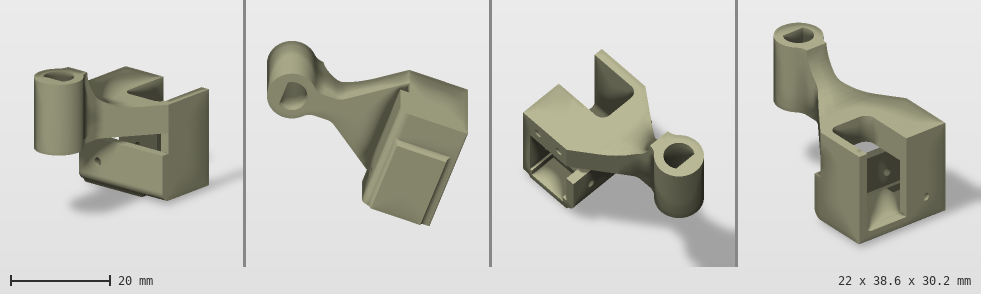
import cadquery as cq
import math

width = 22.0
half_width = width / 2
boss_radius = 5.0
back_y = 38.62 - boss_radius
total_height = 30.2
wall = 2.0

body_bottom = 0.85
floor_z = 2.97
front_wall_top = 10.8
plate_bottom = 15.18
plate_top = 21.2

front_y = 19.1
channel_front_y = front_y + wall
channel_back_y = back_y - wall
channel_end_x = half_width - wall
floor_fillet = 1.0
front_edge_radius = 2.0
back_edge_radius = 0.27
relief_depth = 0.1
relief_end_x = 3.98

recess_front_y = 22.15
recess_back_y = 31.05
recess_floor = 1.43
recess_end_x = -5.02

pad_end_x = 3.95
pad_end_run = 0.95
pad_flare = body_bottom
pad_front_overlap = 0.4
pad_front_bulge = 0.8

pocket_left_x = -1.0
pocket_corner_radius = 2.0

arm_start_y = 21.05
neck_half_width = 2.5
neck_vertex_y = 9.4
neck_fillet = 3.0
ramp_radius = 10.0
ramp_start_y = 15.8
bore_radius = 3.13
bore_flat_y = -1.8

hole_diameter = 1.7
cross_hole_x = -6.0
cross_hole_z = 5.87
side_hole_ys = (23.33, 29.3)
side_hole_depth = 5.02
drill_tip_angle = 118.0


def block(x0, x1, y0, y1, z0, z1):
    """Box between two opposite corners."""
    return cq.Workplane("XY").box(x1 - x0, y1 - y0, z1 - z0, centered=False).translate((x0, y0, z0))


def make_body():
    """Left, back and right outline of the block, with a low front wall."""
    lower = block(-half_width, half_width, front_y, back_y, body_bottom, front_wall_top)
    lower = lower.edges("|X and <Y and <Z").fillet(front_edge_radius)
    lower = lower.edges("|X and >Y and <Z").fillet(back_edge_radius)
    upper = block(-half_width, half_width, arm_start_y, back_y, front_wall_top, plate_top)
    return lower.union(upper)


def make_pad():
    """Pad with curved front and back flares and a sloping right end."""
    arc = pad_flare * math.sqrt(0.5)
    front, back = arm_start_y, channel_back_y
    across = (
        cq.Workplane("YZ", origin=(-half_width, 0, 0))
        .moveTo(front, 0)
        .lineTo(back, 0)
        .threePointArc((back + pad_flare - arc, arc), (back + pad_flare, pad_flare))
        .lineTo(back + pad_flare, floor_z)
        .lineTo(front, floor_z)
        .lineTo(front - pad_flare, pad_flare + pad_front_overlap)
        .threePointArc((front - pad_flare / 2, pad_flare * pad_front_bulge), (front, 0))
        .close()
        .extrude(width)
    )
    along = (
        cq.Workplane("XZ", origin=(0, back_y, 0))
        .moveTo(-half_width, 0)
        .lineTo(pad_end_x, 0)
        .lineTo(pad_end_x + pad_end_run, pad_flare)
        .lineTo(pad_end_x + pad_end_run, floor_z)
        .lineTo(-half_width, floor_z)
        .close()
        .extrude(back_y)
    )
    return across.intersect(along)


def neck_outline():
    """Tapered arm and neck, blended into the boss circle."""
    taper = math.atan2(half_width - neck_half_width, arm_start_y - neck_vertex_y)
    tangent = neck_fillet * math.tan(taper / 2)
    upper_x = neck_half_width + tangent * math.sin(taper)
    upper_y = neck_vertex_y + tangent * math.cos(taper)
    mid_x = neck_half_width + neck_fillet * (1 - math.cos(taper / 2))
    mid_y = neck_vertex_y - tangent + neck_fillet * math.sin(taper / 2)

    centre_x = neck_half_width + neck_fillet
    centre_distance = boss_radius + neck_fillet
    centre_y = math.sqrt(centre_distance**2 - centre_x**2)
    angle = math.atan2(centre_y, centre_x)
    end_x = boss_radius * math.cos(angle)
    end_y = boss_radius * math.sin(angle)
    blend_x = centre_x - neck_fillet * math.cos(angle / 2)
    blend_y = centre_y - neck_fillet * math.sin(angle / 2)

    return (
        cq.Workplane("XY", origin=(0, 0, plate_bottom))
        .moveTo(half_width, arm_start_y)
        .lineTo(upper_x, upper_y)
        .threePointArc((mid_x, mid_y), (neck_half_width, neck_vertex_y - tangent))
        .lineTo(neck_half_width, centre_y)
        .threePointArc((blend_x, blend_y), (end_x, end_y))
        .threePointArc((0, -boss_radius), (-end_x, end_y))
        .threePointArc((-blend_x, blend_y), (-neck_half_width, centre_y))
        .lineTo(-neck_half_width, neck_vertex_y - tangent)
        .threePointArc((-mid_x, mid_y), (-upper_x, upper_y))
        .lineTo(-half_width, arm_start_y)
        .close()
    )


def make_arm():
    """Arm at plate level, rising along a concave ramp to the top of the boss."""
    centre_z = plate_top + ramp_radius
    ramp_top_y = ramp_start_y - math.sqrt(ramp_radius**2 - (centre_z - total_height) ** 2)
    arc = ramp_radius * math.sqrt(0.5)
    side = (
        cq.Workplane("YZ", origin=(-half_width, 0, 0))
        .moveTo(-boss_radius, plate_bottom)
        .lineTo(-boss_radius, total_height)
        .lineTo(ramp_top_y, total_height)
        .threePointArc((ramp_start_y - arc, centre_z - arc), (ramp_start_y, plate_top))
        .lineTo(arm_start_y, plate_top)
        .lineTo(arm_start_y, plate_bottom)
        .close()
        .extrude(width)
    )
    return neck_outline().extrude(total_height - plate_bottom).intersect(side)


def make_bore():
    """D-shaped bore through the boss."""
    height = total_height - plate_bottom
    bore = cq.Workplane("XY", origin=(0, 0, plate_bottom)).circle(bore_radius).extrude(height)
    keep = block(-bore_radius, bore_radius, bore_flat_y, bore_radius, plate_bottom, total_height)
    return bore.intersect(keep)


def make_channel():
    """Channel under the plate, rounded where its floor meets the end wall."""
    channel = block(-half_width, channel_end_x, channel_front_y, channel_back_y, floor_z, plate_bottom)
    gap = block(-half_width, channel_end_x, front_y, channel_front_y, front_wall_top, plate_bottom)
    return channel.edges("|Y and >X and <Z").fillet(floor_fillet).union(gap)


def make_pocket():
    """Pocket open to the top and the back, level with the channel floor."""
    plate_cut = block(pocket_left_x, channel_end_x, arm_start_y, back_y, plate_bottom, plate_top)
    plate_cut = plate_cut.edges("|Z and <Y").fillet(pocket_corner_radius)
    wall_cut = block(pocket_left_x, channel_end_x, channel_back_y, back_y, floor_z, plate_bottom)
    wall_cut = wall_cut.edges("|Y and >X and <Z").fillet(floor_fillet)
    return plate_cut.union(wall_cut)


def make_relief(inner_y, wall_y):
    """Shallow wedge that lowers the channel floor towards a side wall."""
    return (
        cq.Workplane("YZ", origin=(-half_width, 0, 0))
        .polyline([(inner_y, floor_z), (wall_y, floor_z), (wall_y, floor_z - relief_depth)])
        .close()
        .extrude(half_width + relief_end_x)
    )


def make_side_hole(y):
    """Blind drilled hole with a conical end, entering from the -X face."""
    radius = hole_diameter / 2
    tip = radius / math.tan(math.radians(drill_tip_angle / 2))
    z = (plate_bottom + plate_top) / 2
    start = (-half_width, y, z)
    drill_end = (-half_width + side_hole_depth, y, z)
    direction = cq.Vector(1, 0, 0)
    shaft = cq.Solid.makeCylinder(radius, side_hole_depth, cq.Vector(*start), direction)
    cone = cq.Solid.makeCone(radius, 0, tip, cq.Vector(*drill_end), direction)
    return cq.Workplane(shaft).union(cq.Workplane(cone))


result = make_body().union(make_pad()).union(make_arm())
result = result.cut(make_channel()).cut(make_pocket()).cut(make_bore())

recess = block(-half_width, recess_end_x, recess_front_y, recess_back_y, recess_floor, floor_z)
result = result.cut(recess)
result = result.cut(make_relief(recess_front_y, channel_front_y))
result = result.cut(make_relief(recess_back_y, channel_back_y))

cross_hole = (
    cq.Workplane("XZ", origin=(cross_hole_x, back_y, cross_hole_z))
    .circle(hole_diameter / 2)
    .extrude(back_y - front_y)
)
result = result.cut(cross_hole)

for hole_y in side_hole_ys:
    result = result.cut(make_side_hole(hole_y))